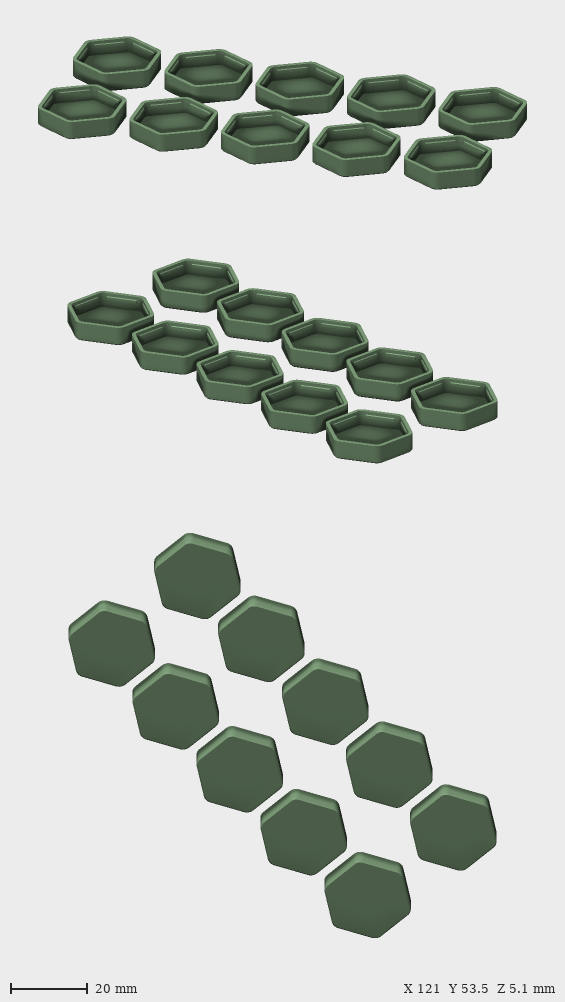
import cadquery as cq
import math

ACROSS_FLATS = 21.0
CORNER_RADIUS = 2.5
HEIGHT = 5.1
BOTTOM_CHAMFER = 0.4

WALL = 1.0
FLOOR = 1.0

RIDGE_LENGTH = 8.0
RIDGE_DEPTH = 0.2
RIDGE_HEIGHT = 1.0
RIDGE_BOTTOM_Z = 3.2
RIDGE_ROOT = WALL / 2

COLUMNS = 5
ROWS = 2
PITCH_X = 25.0
PITCH_Y = 30.0

SIDES = 6
SIDE_ANGLE = 360.0 / SIDES


def hexagonal_prism(across_flats, corner_radius, base_z, height):
    """Upright hexagonal prism with rounded vertical edges and flats facing +X and -X."""
    across_corners = across_flats / math.cos(math.pi / SIDES)
    return (
        cq.Workplane("XY")
        .workplane(offset=base_z)
        .transformed(rotate=(0, 0, SIDE_ANGLE / 2))
        .polygon(SIDES, across_corners)
        .extrude(height)
        .edges("|Z")
        .fillet(corner_radius)
    )


def snap_ridge(side):
    """Snap ridge on one inner wall face, with its root embedded in the wall."""
    face_x = ACROSS_FLATS / 2 - WALL
    root_x = face_x + RIDGE_ROOT
    crest_x = face_x - RIDGE_DEPTH
    top_z = RIDGE_BOTTOM_Z + RIDGE_HEIGHT
    slope_start_z = top_z - RIDGE_DEPTH
    ridge = (
        cq.Workplane("XZ", origin=(0, RIDGE_LENGTH / 2, 0))
        .moveTo(root_x, RIDGE_BOTTOM_Z)
        .lineTo(crest_x, RIDGE_BOTTOM_Z)
        .lineTo(crest_x, slope_start_z)
        .lineTo(face_x, top_z)
        .lineTo(root_x, top_z)
        .close()
        .extrude(RIDGE_LENGTH)
    )
    return ridge.rotate((0, 0, 0), (0, 0, 1), side * SIDE_ANGLE)


def make_tray():
    """Open hexagonal tray with a chamfered bottom and a snap ridge on every inner face."""
    tray = hexagonal_prism(ACROSS_FLATS, CORNER_RADIUS, 0, HEIGHT)
    tray = tray.faces("<Z").chamfer(BOTTOM_CHAMFER)
    cavity = hexagonal_prism(ACROSS_FLATS - 2 * WALL, CORNER_RADIUS - WALL, FLOOR, HEIGHT - FLOOR)
    tray = tray.cut(cavity)
    for side in range(SIDES):
        tray = tray.union(snap_ridge(side))
    return tray


def make_trays():
    """Separate trays on a grid that is centered on the Z axis."""
    tray = make_tray()
    trays = []
    for row in range(ROWS):
        for column in range(COLUMNS):
            x = (column - (COLUMNS - 1) / 2) * PITCH_X
            y = (row - (ROWS - 1) / 2) * PITCH_Y
            trays.append(tray.translate((x, y, 0)).val())
    return trays


result = cq.Compound.makeCompound(make_trays())